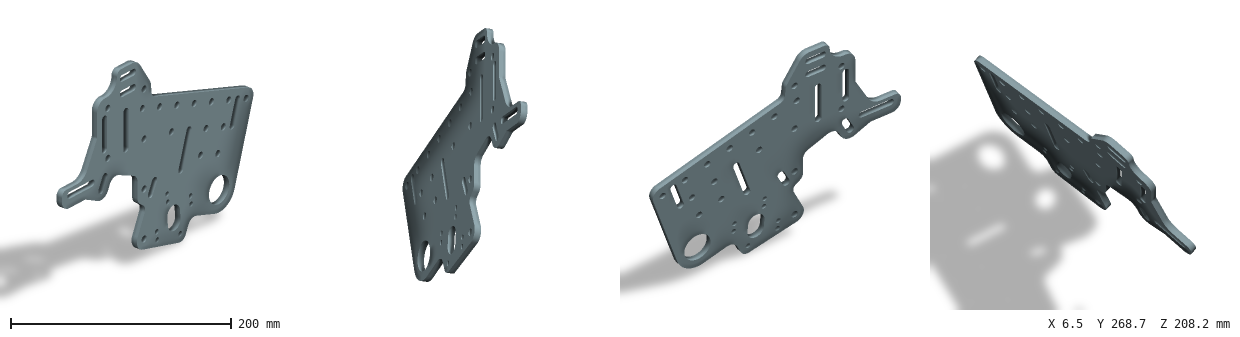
import cadquery as cq
import math

THICKNESS = 6.5
PLATE_HEIGHT = 208.2

VERTICAL = 90.0
HORIZONTAL = 0.0

ROW_LENGTH = 152.5
PITCH = ROW_LENGTH / 6
BOLT_DIAMETER = 7.0
SMALL_BOLT_DIAMETER = 5.0

GRID_TILT = 17.5
GRID_ORIGIN = (112.8, 156.5)
GRID_ROWS = [(0, 1, 2, 3, 4, 5, 6), (2, 4, 5), (4, 5)]

SQUARE_SPACING = 2 * PITCH
SQUARE_ORIGIN = (115.2, 22.8)
SQUARE_CELLS = [(0, 0), (0, 1), (0, 2), (0, 3), (-1, 2), (-1, 3)]

MOTOR_CENTER = (157.0, 28.2)
MOTOR_TRAVEL = 8.5
MOTOR_TILT = 5.5
SHAFT_SLOT_WIDTH = 17.7
SCREW_CIRCLE_RADIUS = PITCH
SCREW_START_ANGLE = 21
SCREW_STEP = 90
SCREW_COUNT_UPPER = 4
SCREW_COUNT_LOWER = 3

OPENING_CENTER = (220.5, 32.2)
OPENING_DIAMETER = 28.5

SLOT_WIDTH = BOLT_DIAMETER
LINK_SLOT_WIDTH = 7.5
LONG_TRAVEL = 1.5 * PITCH
MEDIUM_TRAVEL = 31.2
SHORT_TRAVEL = MEDIUM_TRAVEL / 2
LINK_TRAVEL = 0.5 * PITCH
LINK_ANGLE = 64.0
GRID_NORMAL = VERTICAL - GRID_TILT

SLOTS = [
    (92.5, 198.2, SHORT_TRAVEL, HORIZONTAL, SLOT_WIDTH),
    (92.5, 182.6, SHORT_TRAVEL, HORIZONTAL, SLOT_WIDTH),
    (59.5, 150.7, MEDIUM_TRAVEL, VERTICAL, SLOT_WIDTH),
    (89.7, 143.5, LONG_TRAVEL, VERTICAL, SLOT_WIDTH),
    (26.5, 107.7, MEDIUM_TRAVEL, HORIZONTAL, SLOT_WIDTH),
    (242.5, 102.5, PITCH, GRID_NORMAL, SLOT_WIDTH),
    (172.5, 91.3, LONG_TRAVEL, GRID_NORMAL, SLOT_WIDTH),
    (57.5, 101.5, LINK_TRAVEL, LINK_ANGLE, LINK_SLOT_WIDTH),
    (127.0, 70.6, LINK_TRAVEL, LINK_ANGLE, LINK_SLOT_WIDTH),
]

TAB_EDGE_Y = 77.0
SHOULDER_EDGE_Y = 49.5
LOWER_EDGE_Y = 106.0
SHOULDER_Z = 187.2
ARM_TOP_Z = 115.0
ARM_BOTTOM_Z = 94.8
CORNERS = [
    (105.8, PLATE_HEIGHT, 13.2),
    (TAB_EDGE_Y, PLATE_HEIGHT, 6.0),
    (TAB_EDGE_Y, SHOULDER_Z, 14.8),
    (SHOULDER_EDGE_Y, SHOULDER_Z, 10.7),
    (SHOULDER_EDGE_Y, 150.7, 3.8),
    (31.0, ARM_TOP_Z, 15.8),
    (0.0, ARM_TOP_Z, 6.0),
    (0.0, ARM_BOTTOM_Z, 10.0),
    (32.8, ARM_BOTTOM_Z, 2.0),
    (60.2, 82.0, 11.0),
    (71.0, 105.3, 9.7),
    (LOWER_EDGE_Y, 90.5, 9.0),
    (LOWER_EDGE_Y, 63.0, 8.5),
    (118.2, 54.3, 6.2),
    (100.7, 15.8, 10.7),
    (170.8, -1.3, 8.0),
    (180.8, 20.7, 9.5),
    (235.5, 3.8, 22.5),
    (271.3, 117.6, 10.2),
    (126.2, 163.3, 7.3),
    (124.5, 179.0, 7.8),
]


def step(point, distance, angle):
    """Point reached by moving a distance at an angle in degrees from +Y towards +Z."""
    a = math.radians(angle)
    return (point[0] + distance * math.cos(a), point[1] + distance * math.sin(a))


def direction(start, end):
    """Angle in degrees of the line from start to end."""
    return math.degrees(math.atan2(end[1] - start[1], end[0] - start[0]))


def corner_arc(before, corner, after):
    """Start, middle and end of the arc that rounds one corner."""
    radius = corner[2]
    to_before = direction(corner, before)
    to_after = direction(corner, after)
    opening = (to_after - to_before + 180) % 360 - 180
    half = math.radians(abs(opening) / 2)
    tangent_length = radius / math.tan(half)
    middle_distance = radius / math.sin(half) - radius
    return (
        step(corner, tangent_length, to_before),
        step(corner, middle_distance, to_before + opening / 2),
        step(corner, tangent_length, to_after),
    )


def rounded_plate(corners):
    """Plate whose straight edges are joined by tangent arcs."""
    count = len(corners)
    arcs = [corner_arc(corners[i - 1], corners[i], corners[(i + 1) % count]) for i in range(count)]
    outline = cq.Workplane("YZ").moveTo(*arcs[0][0])
    outline = outline.threePointArc(arcs[0][1], arcs[0][2])
    for start, middle, end in arcs[1:]:
        outline = outline.lineTo(*start).threePointArc(middle, end)
    return outline.close().extrude(THICKNESS)


def drill(plate, points, diameter):
    cutter = cq.Workplane("YZ").pushPoints(points).circle(diameter / 2).extrude(THICKNESS)
    return plate.cut(cutter)


def cut_slot(plate, center, travel, angle, width):
    cutter = cq.Workplane("YZ").center(*center).slot2D(travel + width, width, angle).extrude(THICKNESS)
    return plate.cut(cutter)


def tilted_grid_points():
    points = []
    for row, columns in enumerate(GRID_ROWS):
        row_start = step(GRID_ORIGIN, row * PITCH, -VERTICAL - GRID_TILT)
        points += [step(row_start, column * PITCH, -GRID_TILT) for column in columns]
    return points


def square_grid_points():
    y0, z0 = SQUARE_ORIGIN
    return [(y0 + i * SQUARE_SPACING, z0 + j * SQUARE_SPACING) for i, j in SQUARE_CELLS]


def motor_screw_points():
    slot_angle = VERTICAL + MOTOR_TILT
    upper = step(MOTOR_CENTER, MOTOR_TRAVEL / 2, slot_angle)
    lower = step(MOTOR_CENTER, -MOTOR_TRAVEL / 2, slot_angle)
    points = []
    for end, count in ((upper, SCREW_COUNT_UPPER), (lower, SCREW_COUNT_LOWER)):
        angles = [SCREW_START_ANGLE + SCREW_STEP * i for i in range(count)]
        points += [step(end, SCREW_CIRCLE_RADIUS, angle) for angle in angles]
    return points


result = rounded_plate(CORNERS)
result = drill(result, tilted_grid_points() + square_grid_points(), BOLT_DIAMETER)
result = drill(result, motor_screw_points(), SMALL_BOLT_DIAMETER)
result = drill(result, [OPENING_CENTER], OPENING_DIAMETER)
result = cut_slot(result, MOTOR_CENTER, MOTOR_TRAVEL, VERTICAL + MOTOR_TILT, SHAFT_SLOT_WIDTH)
for y, z, travel, angle, width in SLOTS:
    result = cut_slot(result, (y, z), travel, angle, width)